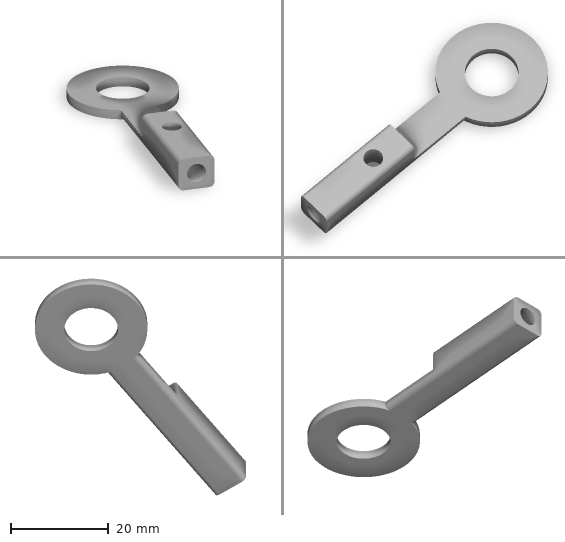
import cadquery as cq

overall_length = 61.0
ring_diameter = 23.0
ring_bore = 11.0
plate_thickness = 2.0
handle_width = 7.7
handle_height = 7.0
handle_length = 24.4
edge_radius = 1.1
cross_hole_diameter = 4.0
cross_hole_setback = 16.5
socket_diameter = 4.0
socket_axis_height = handle_height / 2

ring_radius = ring_diameter / 2
bar_end = overall_length - ring_radius
handle_start = bar_end - handle_length
socket_radius = socket_diameter / 2
cross_hole_x = bar_end - cross_hole_setback
cross_hole_floor = socket_axis_height - socket_radius


def make_bar():
    """Rounded bar from the ring centre to the free end, cut down to a thin neck."""
    bar = (
        cq.Workplane("XY")
        .box(bar_end, handle_width, handle_height, centered=(False, True, False))
        .edges("|X")
        .fillet(edge_radius)
    )
    above_neck = (
        cq.Workplane("XY")
        .workplane(offset=plate_thickness)
        .box(handle_start, handle_width, handle_height, centered=(False, True, False))
    )
    return bar.cut(above_neck)


def make_cross_hole():
    """Round hole from the top of the handle down to the bottom of the socket."""
    return (
        cq.Workplane("XY")
        .workplane(offset=cross_hole_floor)
        .center(cross_hole_x, 0)
        .circle(cross_hole_diameter / 2)
        .extrude(handle_height - cross_hole_floor)
    )


def make_socket():
    """Lengthwise round socket from the free end to the axis of the cross hole."""
    return (
        cq.Workplane("YZ")
        .workplane(offset=cross_hole_x)
        .center(0, socket_axis_height)
        .circle(socket_radius)
        .extrude(cross_hole_setback)
    )


ring = cq.Workplane("XY").circle(ring_radius).extrude(plate_thickness)
bore = cq.Workplane("XY").circle(ring_bore / 2).extrude(plate_thickness)

result = ring.union(make_bar()).cut(bore).cut(make_cross_hole()).cut(make_socket())